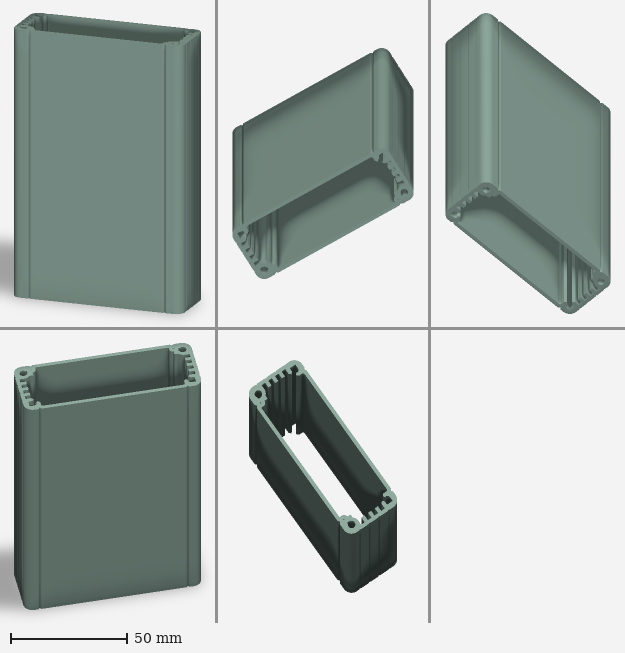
import cadquery as cq
import math

width = 78.0
depth = 27.0
length = 120.0
corner_radius = 4.0
wall = 1.65

left = -width / 2
back = depth / 2
front = -depth / 2

slot_count = 4
slot_pitch = 3.5
slot_width = 1.85
slot_offset = 0.1
slot_half_span = ((slot_count - 1) * slot_pitch + slot_width) / 2
slots_top = slot_offset + slot_half_span
slots_bottom = slot_offset - slot_half_span
rib_tip = left + 4.2

groove_count = 4
groove_pitch = 5.0
groove_offset = -0.2
groove_width = 0.7
groove_depth = 0.2

channel_left = left + 2.5
channel_top = back - 2.5
channel_bottom = back - 5.4
channel_radius = 1.75
channel_arc_end_angle = math.radians(15)
hook_nose = (left + 5.35, back - 3.9)
hook_tip = (left + 6.5, back - 4.9)
hook_right = left + 7.45
hook_side_end = back - 4.0
hook_root_radius = 0.8
finger_tip = left + 5.1

hole_x = left + 4.0
hole_y = front + 4.1
hole_radius = 1.6
boss_x = left + 3.75
boss_radius = slots_bottom - hole_y

joint_x = left + 8.0
lip_top = front + 2.9
lip_round = 0.8
lip_chamfer_width = 0.9
lip_chamfer_height = 0.7
lid_chamfer_width = 0.8
lid_chamfer_height = 0.6
arm_top = lip_top + wall
tongue_top = arm_top + wall
tongue_start = left + 5.4
arm_end = left + 5.8
lid_shoulder_radius = wall

v_x = left + 6.5
v_half_width = 0.7
v_depth = 0.7


def block(x_min, x_max, y_min, y_max):
    """Full-length bar with a rectangular cross-section."""
    size_x = x_max - x_min
    size_y = y_max - y_min
    return cq.Workplane("XY").box(size_x, size_y, length, centered=False).translate((x_min, y_min, 0))


def prism(points):
    """Full-length bar with a polygonal cross-section."""
    return cq.Workplane("XY").polyline(points).close().extrude(length)


def rod(x, y, radius):
    """Full-length round bar."""
    return cq.Workplane("XY").center(x, y).circle(radius).extrude(length)


def outer_block():
    """Solid block with the outer corners rounded."""
    return block(left, -left, front, back).edges("|Z").fillet(corner_radius)


def side_ribs():
    """Square-ended ribs between the board slots."""
    rib_width = slot_pitch - slot_width
    ribs = cq.Workplane("XY")
    for i in range(slot_count - 1):
        y = slot_offset + (i - (slot_count - 2) / 2) * slot_pitch
        ribs = ribs.union(block(left, rib_tip, y - rib_width / 2, y + rib_width / 2))
    return ribs


def back_corner():
    """Back corner with its hook, its pointed finger and the channel between them."""
    finger_middle = (channel_bottom + slots_top) / 2
    finger = prism([
        (left, channel_bottom),
        (rib_tip, channel_bottom),
        (finger_tip, finger_middle),
        (rib_tip, slots_top),
        (left, slots_top),
    ])
    center_x = channel_left + channel_radius
    center_y = channel_top - channel_radius

    def arc_point(angle):
        return (center_x + channel_radius * math.cos(angle), center_y + channel_radius * math.sin(angle))

    channel = (
        cq.Workplane("XY")
        .moveTo(channel_left, channel_bottom)
        .lineTo(channel_left, channel_top)
        .lineTo(center_x, channel_top)
        .threePointArc(arc_point(math.pi / 4), arc_point(channel_arc_end_angle))
        .lineTo(*hook_nose)
        .lineTo(*hook_tip)
        .lineTo(hook_right, hook_side_end)
        .lineTo(hook_right, channel_bottom)
        .close()
        .extrude(length)
    )
    root_x = hook_right + hook_root_radius
    root_y = back - wall - hook_root_radius
    root = block(hook_right, root_x, root_y, back).cut(rod(root_x, root_y, hook_root_radius))
    corner = block(left, hook_right, channel_bottom, back).cut(channel)
    return corner.union(root).union(finger)


def front_corner():
    """Front corner with its screw boss, the tongue above the lid arm and the lip below it."""
    boss = block(left, boss_x, front, slots_bottom)
    boss = boss.union(rod(boss_x, hole_y, boss_radius))
    boss = boss.cut(block(boss_x, joint_x, front, arm_top))
    tongue = block(tongue_start, joint_x, arm_top, tongue_top)
    lip = block(left, joint_x, front, lip_top)
    lip = lip.edges("|Z and >X and >Y").fillet(lip_round)
    lip = lip.cut(v_groove(joint_x, front, front + lip_chamfer_height, lip_chamfer_width))
    return boss.union(lip).cut(rod(hole_x, hole_y, hole_radius)).union(tongue)


def v_groove(x, y_mouth, y_bottom, half_width):
    """Full-length V-shaped cutter."""
    return prism([(x - half_width, y_mouth), (x, y_bottom), (x + half_width, y_mouth)])


def outside_grooves():
    """Side grooves and the V groove in the back face."""
    grooves = v_groove(v_x, back, back - v_depth, v_half_width)
    for i in range(groove_count):
        y = groove_offset + (i - (groove_count - 1) / 2) * groove_pitch
        groove = block(left, left + groove_depth, y - groove_width / 2, y + groove_width / 2)
        grooves = grooves.union(groove)
    return grooves


def both_sides(half):
    """Left-hand feature together with its mirror image on the right."""
    return half.union(half.mirror("YZ"))


def make_housing():
    """Three-sided extrusion with the screw corners, slots and lips that hold the lid."""
    outer = outer_block()
    shell = outer.cut(block(left + wall, -left - wall, front, back - wall))
    inside = side_ribs().union(back_corner()).union(front_corner())
    body = shell.union(both_sides(inside).intersect(outer))
    return body.cut(both_sides(outside_grooves()))


def make_lid():
    """Front plate with an L-shaped hook at each side that tucks under the housing tongue."""
    plate = block(joint_x, -joint_x, front, front + wall)
    bevel = v_groove(joint_x, front, front + lid_chamfer_height, lid_chamfer_width)
    plate = plate.cut(both_sides(bevel))
    leg_inner = joint_x + wall
    leg = block(joint_x, leg_inner, front + wall, arm_top)
    arm = block(arm_end, leg_inner, lip_top, arm_top)
    hook = leg.union(arm).clean().edges("|Z and >X and >Y").fillet(lid_shoulder_radius)
    return plate.union(both_sides(hook))


housing = make_housing()
lid = make_lid()
result = cq.Compound.makeCompound([housing.val(), lid.val()])